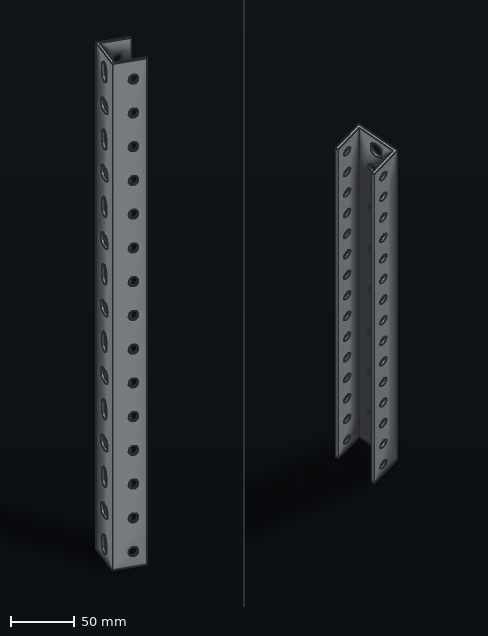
import cadquery as cq

width = 39.27
depth = 29.0
length = 450.0
wall = 2.5

pitch = 30.0
hole_count = 15
bottom_margin = 13.5
hole_heights = [bottom_margin + i * pitch for i in range(hole_count)]

slot_length = 17.0
slot_width = 11.0
upright_angle = 90
lying_angle = 0

flange_hole_diameter = 8.2
flange_hole_from_free_edge = 11.5
flange_hole_y = depth - flange_hole_from_free_edge


def make_channel():
    """U-section along Z: web on the XZ plane, flanges reaching toward +Y."""
    outer = cq.Workplane("XY").box(width, depth, length, centered=(True, False, False))
    inner = (
        cq.Workplane("XY")
        .box(width - 2 * wall, depth - wall, length, centered=(True, False, False))
        .translate((0, wall, 0))
    )
    return outer.cut(inner)


def web_slots(heights, angle):
    """Slot cutters through the web, centred on its width."""
    return (
        cq.Workplane("XZ")
        .pushPoints([(0, z) for z in heights])
        .slot2D(slot_length, slot_width, angle)
        .extrude(-wall)
    )


def flange_holes():
    """Round cutters running straight through both flanges."""
    return (
        cq.Workplane("YZ")
        .pushPoints([(flange_hole_y, z) for z in hole_heights])
        .circle(flange_hole_diameter / 2)
        .extrude(width / 2, both=True)
    )


result = (
    make_channel()
    .cut(web_slots(hole_heights[0::2], upright_angle))
    .cut(web_slots(hole_heights[1::2], lying_angle))
    .cut(flange_holes())
)